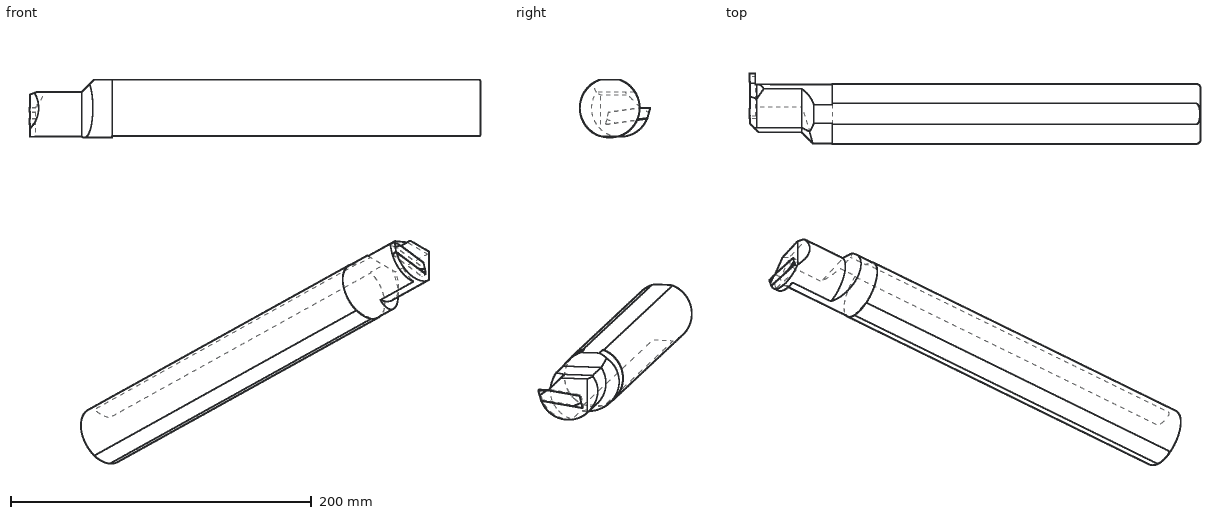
import cadquery as cq
import math


total_length = 299.97
shank_radius = 20.0
flat_height = 18.75
shank_end_fillet = 3.0
collar_radius = 19.75
collar_end_x = 55.1

head_offset_y = 7.0
head_radius = 19.25
neck_top_z = 10.6
neck_end_x = 34.7

side_chamfer = 6.2
top_chamfer_length = 4.8
top_chamfer_drop = 1.7
clearance_distance = 14.6
clearance_length = 4.9

tip_y = 27.0
insert_thickness = 4.0
seat_angle = 8.0
rake_length = 7.7
insert_back_top_y = -1.05
insert_back_bottom = (-2.9, -10.7)
heel_y = 25.15
tip_overhang = 0.3
tip_length = 5.5
tip_height = 2.7
far_tip_run = 8.4
far_tip_rise = 3.7
seat_gap = 0.3

beyond = 60.0


def x_cylinder(radius, start_x, end_x, center_y=0.0):
    return (
        cq.Workplane("YZ", origin=(start_x, center_y, 0))
        .circle(radius)
        .extrude(end_x - start_x)
    )


def make_shank():
    shank = x_cylinder(shank_radius, collar_end_x, total_length)
    shank = shank.faces(">X").edges().fillet(shank_end_fillet)
    slab = cq.Workplane("XY").box(2 * total_length, 2 * beyond, 2 * flat_height)
    return shank.intersect(slab)


def make_head():
    """Collar, neck and blade before the front details are cut."""
    cone_length = collar_end_x - neck_end_x
    cone = cq.Solid.makeCone(
        head_radius,
        head_radius + cone_length,
        cone_length,
        cq.Vector(neck_end_x, head_offset_y, 0),
        cq.Vector(1, 0, 0),
    )
    envelope = x_cylinder(head_radius, tip_overhang, neck_end_x, head_offset_y).union(cq.Workplane(cone))
    neck_and_collar = envelope.intersect(x_cylinder(collar_radius, 0, collar_end_x))
    blade = x_cylinder(head_radius, tip_overhang, insert_thickness, head_offset_y)

    top_rise = flat_height - neck_top_z
    side_profile = (
        cq.Workplane("XZ")
        .moveTo(tip_overhang, -beyond)
        .lineTo(tip_overhang, neck_top_z - top_chamfer_drop)
        .lineTo(top_chamfer_length, neck_top_z)
        .lineTo(neck_end_x, neck_top_z)
        .lineTo(neck_end_x + top_rise, flat_height)
        .lineTo(collar_end_x, flat_height)
        .lineTo(collar_end_x, -beyond)
        .close()
        .extrude(beyond, both=True)
    )
    return neck_and_collar.union(blade).intersect(side_profile)


def side_chamfer_cut():
    side_y = head_offset_y - head_radius
    return (
        cq.Workplane("XY", origin=(0, 0, -beyond))
        .moveTo(0, side_y + side_chamfer)
        .lineTo(side_chamfer, side_y)
        .lineTo(side_chamfer, side_y - side_chamfer)
        .lineTo(0, side_y - side_chamfer)
        .close()
        .extrude(2 * beyond)
    )


def chip_clearance_cut():
    """Relief above the cutting edge, with its profile swept along the -Y+Z diagonal."""
    diagonal_plane = cq.Plane(origin=(0, 0, 0), xDir=(1, 0, 0), normal=(0, -1, 1))
    run_out = beyond - clearance_distance
    wedge = (
        cq.Workplane(diagonal_plane)
        .moveTo(0, clearance_distance)
        .lineTo(clearance_length, clearance_distance)
        .lineTo(clearance_length + run_out, beyond)
        .lineTo(0, beyond)
        .close()
        .extrude(beyond, both=True)
    )
    above_edge = cq.Workplane("XY").box(
        4 * beyond, 4 * beyond, beyond, centered=(True, True, False)
    )
    return wedge.intersect(above_edge)


def insert_outline():
    slope = math.tan(math.radians(seat_angle))
    bend_y = tip_y - rake_length
    back_y, back_z = insert_back_bottom
    return [
        (tip_y, 0),
        (bend_y, 0),
        (insert_back_top_y, (insert_back_top_y - bend_y) * slope),
        insert_back_bottom,
        (heel_y, back_z + (heel_y - back_y) * slope),
    ]


def insert_blank(front_x):
    return (
        cq.Workplane("YZ", origin=(front_x, 0, 0))
        .polyline(insert_outline())
        .close()
        .extrude(insert_thickness - front_x)
    )


def make_insert():
    """Body flush with the holder face, with a proud cutting end at each end."""
    back_y, back_z = insert_back_bottom
    near_tip = [(tip_y, 0), (tip_y - tip_length, 0), (heel_y, -tip_height), (tip_y, -tip_height)]
    far_tip = [
        (back_y, back_z),
        (back_y + far_tip_run, back_z),
        (back_y, back_z + far_tip_rise),
    ]
    insert = insert_blank(tip_overhang)
    for tip in (near_tip, far_tip):
        prism = cq.Workplane("YZ").polyline(tip).close().extrude(insert_thickness)
        insert = insert.union(prism.intersect(insert_blank(0)))
    return insert


def insert_seat_cut():
    seat = insert_blank(0)
    for shift in (seat_gap, -seat_gap):
        seat = seat.union(insert_blank(0).translate((0, 0, shift)))
    return seat


holder = make_shank().union(make_head())
holder = holder.cut(side_chamfer_cut()).cut(chip_clearance_cut()).cut(insert_seat_cut())
insert = make_insert()

result = cq.Compound.makeCompound([*holder.solids().vals(), *insert.solids().vals()])